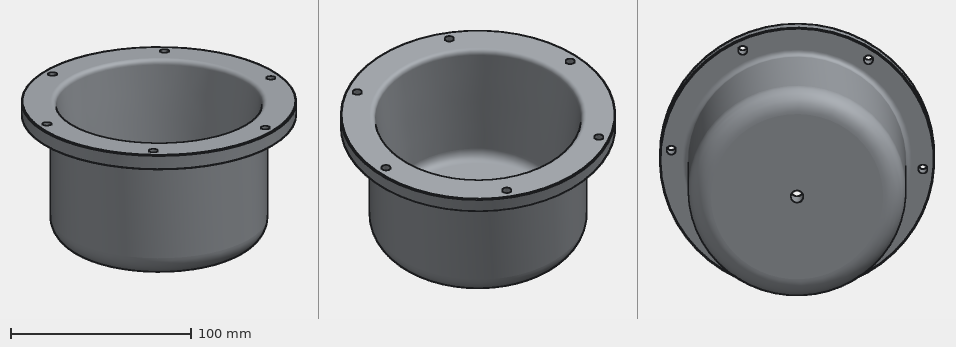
import cadquery as cq

flange_diameter = 152.4
total_height = 81.7
flange_thickness = 9.0
body_diameter = 120.7
edge_chamfer = 0.6

neck_fillet = 3.0
base_fillet = 12.6

floor_thickness = 12.6
mouth_radius = 57.3
cavity_floor_radius = 50.1
mouth_fillet = 3.0
floor_fillet = 6.1

drain_diameter = 6.9
bolt_hole_diameter = 5.0
bolt_circle_radius = 70.0
bolt_count = 6
first_bolt_angle = 30.0


def make_outer_body():
    """Round cup with a flange at its rim, standing on Z = 0."""
    flange_bottom = total_height - flange_thickness
    cup = cq.Workplane("XY").circle(body_diameter / 2).extrude(total_height)
    cup = cup.faces("<Z").edges().fillet(base_fillet)
    flange = (
        cq.Workplane("XY")
        .workplane(offset=flange_bottom)
        .circle(flange_diameter / 2)
        .extrude(flange_thickness)
        .edges()
        .chamfer(edge_chamfer)
    )
    neck_edge = cq.selectors.RadiusNthSelector(0)
    return cup.union(flange).faces("<Z[-2]").edges(neck_edge).fillet(neck_fillet)


def make_cavity():
    """Cone that narrows towards a flat, rounded floor."""
    return (
        cq.Workplane("XY")
        .workplane(offset=floor_thickness)
        .circle(cavity_floor_radius)
        .workplane(offset=total_height - floor_thickness)
        .circle(mouth_radius)
        .loft(ruled=True)
        .faces("<Z")
        .edges()
        .fillet(floor_fillet)
    )


def make_holes():
    """Central drain hole and the ring of bolt holes."""
    drain = cq.Workplane("XY").circle(drain_diameter / 2).extrude(total_height)
    bolts = (
        cq.Workplane("XY")
        .polarArray(bolt_circle_radius, first_bolt_angle, 360, bolt_count)
        .circle(bolt_hole_diameter / 2)
        .extrude(total_height)
    )
    return drain.union(bolts)


result = make_outer_body().cut(make_cavity())
result = result.faces(">Z").edges(cq.selectors.RadiusNthSelector(0)).fillet(mouth_fillet)
result = result.cut(make_holes())